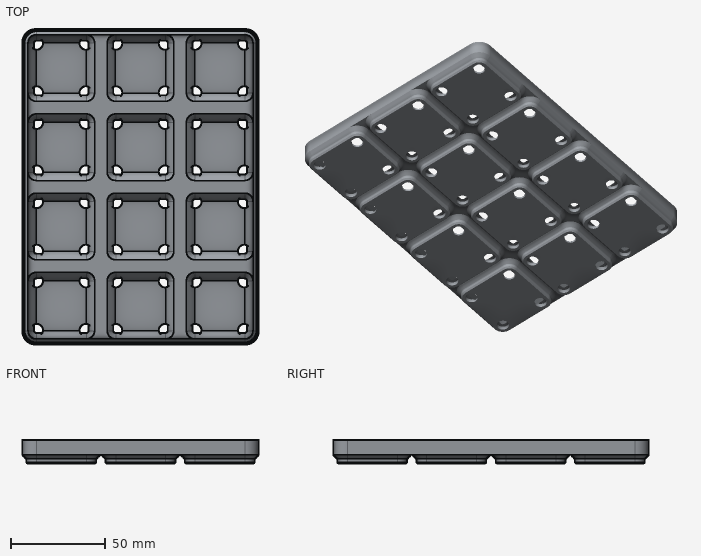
import cadquery as cq
import math

PITCH = 42.0
COLUMNS = 3
ROWS = 4
CLEARANCE = 0.5
CORNER_RADIUS = 7.5
CELL_SIZE = PITCH - CLEARANCE
TRAY_LENGTH_X = COLUMNS * PITCH - CLEARANCE
TRAY_LENGTH_Y = ROWS * PITCH - CLEARANCE
TRAY_HEIGHT = 12.75

FOOT_LOWER_CHAMFER = 0.8
FOOT_BAND = 1.8
FOOT_UPPER_CHAMFER = 2.15
FOOT_BAND_TOP = FOOT_LOWER_CHAMFER + FOOT_BAND
FOOT_HEIGHT = FOOT_BAND_TOP + FOOT_UPPER_CHAMFER

WALL_THICKNESS = 3.1
WEB_TOP = 5.5

LIP_THICKNESS = 0.8
GROOVE_FLAT = 0.5
GROOVE_DEPTH = 2.15

SLOPE_ANGLE = 45
FLOOR_CORNER_RADIUS = 0.01
FLOOR_INSET = CORNER_RADIUS - FLOOR_CORNER_RADIUS
POCKET_DEPTH = FLOOR_INSET - WALL_THICKNESS
POCKET_FLOOR = WEB_TOP - POCKET_DEPTH

HOLE_DIAMETER = 6.5
HOLE_SPACING = 26.0
HOLE_DEPTH = 2.25


def rounded_block(length_x, length_y, inset, bottom, height, taper=0):
    """Extruded rounded rectangle, inset from its nominal outline; a positive taper narrows it upward."""
    outline = cq.Sketch().rect(length_x - 2 * inset, length_y - 2 * inset)
    outline = outline.vertices().fillet(CORNER_RADIUS - inset)
    return cq.Workplane("XY").workplane(offset=bottom).placeSketch(outline).extrude(height, taper=taper)


def cell_block(inset, bottom, height, taper=0):
    return rounded_block(CELL_SIZE, CELL_SIZE, inset, bottom, height, taper)


def tray_block(inset, bottom, height, taper=0):
    return rounded_block(TRAY_LENGTH_X, TRAY_LENGTH_Y, inset, bottom, height, taper)


def cell_centres():
    return [
        ((column - (COLUMNS - 1) / 2) * PITCH, (row - (ROWS - 1) / 2) * PITCH)
        for column in range(COLUMNS)
        for row in range(ROWS)
    ]


def make_foot():
    band_inset = FOOT_UPPER_CHAMFER
    bottom_inset = band_inset + FOOT_LOWER_CHAMFER
    lower = cell_block(bottom_inset, 0, FOOT_LOWER_CHAMFER, -SLOPE_ANGLE)
    band = cell_block(band_inset, FOOT_LOWER_CHAMFER, FOOT_BAND)
    upper = cell_block(band_inset, FOOT_BAND_TOP, FOOT_UPPER_CHAMFER, -SLOPE_ANGLE)
    return lower.union(band).union(upper)


def make_pocket():
    return cell_block(FLOOR_INSET, POCKET_FLOOR, POCKET_DEPTH, -SLOPE_ANGLE)


def make_corner_holes():
    corners = cq.Workplane("XY").rect(HOLE_SPACING, HOLE_SPACING, forConstruction=True).vertices()
    return corners.circle(HOLE_DIAMETER / 2).extrude(HOLE_DEPTH)


def make_groove():
    """Ring-shaped cutter: vertical on the lip side, sloped on the inner side."""
    bottom = TRAY_HEIGHT - GROOVE_DEPTH
    slope_inset = LIP_THICKNESS + GROOVE_FLAT
    slope_run = WALL_THICKNESS - slope_inset
    slope_taper = math.degrees(math.atan2(slope_run, GROOVE_DEPTH))
    outer = tray_block(LIP_THICKNESS, bottom, GROOVE_DEPTH)
    core = tray_block(slope_inset, bottom, GROOVE_DEPTH, slope_taper)
    return outer.cut(core)


def make_tray():
    tray = tray_block(0, FOOT_HEIGHT, TRAY_HEIGHT - FOOT_HEIGHT)
    interior = tray_block(WALL_THICKNESS, WEB_TOP, TRAY_HEIGHT - WEB_TOP)
    tray = tray.cut(interior).cut(make_groove())

    foot = make_foot()
    pocket = make_pocket()
    holes = make_corner_holes()
    for x, y in cell_centres():
        position = (x, y, 0)
        tray = tray.union(foot.translate(position))
        tray = tray.cut(pocket.translate(position))
        tray = tray.cut(holes.translate(position))
    return tray


result = make_tray()